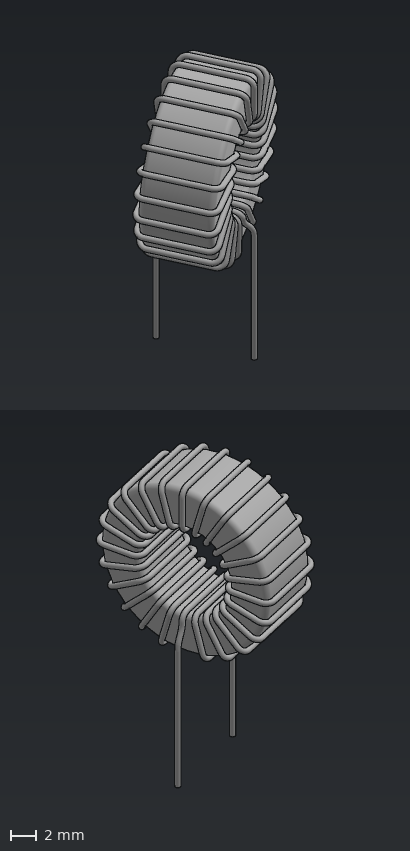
import cadquery as cq
import math


core_outer_diameter = 15.4
core_bore_diameter = 8.33
core_width = 6.2
core_edge_radius = 0.5

wire_diameter = 0.5
turn_count = 24
bend_radius = core_edge_radius + wire_diameter / 2

lead_spacing = 8.0
lead_top_z = -6.95
overall_height = 28.15

wire_radius = wire_diameter / 2
bore_pass_radius = core_bore_diameter / 2 - wire_radius
outer_pass_radius = core_outer_diameter / 2 + wire_radius
leg_x = core_width / 2 + wire_radius
lead_x = lead_spacing / 2
lead_bottom_z = outer_pass_radius + wire_radius - overall_height


def make_core():
    """Ring with a rounded section."""
    return (
        cq.Workplane("YZ", origin=(-core_width / 2, 0, 0))
        .circle(core_outer_diameter / 2)
        .circle(core_bore_diameter / 2)
        .extrude(core_width)
        .edges()
        .fillet(core_edge_radius)
    )


def winding_point(turn, radius, x):
    """Point of a turn at a radius from the core axis; turn 0 is at the bottom, counting toward +Y."""
    angle = 2 * math.pi * turn / turn_count
    return cq.Vector(x, radius * math.sin(angle), -radius * math.cos(angle))


def winding_corners():
    """Sharp corners of the centreline. The -X legs are radial, the +X legs step to the next turn."""
    corners = []
    for turn in range(turn_count):
        corners.append(winding_point(turn, outer_pass_radius, -leg_x))
        corners.append(winding_point(turn, bore_pass_radius, -leg_x))
        corners.append(winding_point(turn, bore_pass_radius, leg_x))
        corners.append(winding_point(turn + 1, outer_pass_radius, leg_x))
    return corners


def bend(before, corner, after):
    """Quarter-circle arc that rounds one right-angled corner of the centreline."""
    toward_before = (before - corner).normalized()
    toward_after = (after - corner).normalized()
    start = corner + toward_before * bend_radius
    end = corner + toward_after * bend_radius
    middle = corner + (toward_before + toward_after) * (bend_radius * (1 - math.sqrt(0.5)))
    return cq.Edge.makeThreePointArc(start, middle, end)


def winding_path():
    """Lead, S-curve, all the turns, S-curve and lead, joined tangentially end to end."""
    down = cq.Vector(0, 0, -1)
    up = cq.Vector(0, 0, 1)
    first_lead_top = cq.Vector(-lead_x, 0, lead_top_z)
    first_lead_foot = cq.Vector(-lead_x, 0, lead_bottom_z)
    last_lead_top = cq.Vector(lead_x, 0, lead_top_z)
    last_lead_foot = cq.Vector(lead_x, 0, lead_bottom_z)

    corners = winding_corners()
    bends = [bend(*trio) for trio in zip(corners, corners[1:], corners[2:])]
    first_bend = bends[0]
    last_bend = bends[-1]

    edges = [
        cq.Edge.makeLine(first_lead_foot, first_lead_top),
        cq.Edge.makeSpline(
            [first_lead_top, first_bend.startPoint()], tangents=[up, first_bend.tangentAt(0)]
        ),
        first_bend,
    ]
    for previous_bend, next_bend in zip(bends, bends[1:]):
        edges.append(cq.Edge.makeLine(previous_bend.endPoint(), next_bend.startPoint()))
        edges.append(next_bend)
    edges.append(
        cq.Edge.makeSpline(
            [last_bend.endPoint(), last_lead_top], tangents=[last_bend.tangentAt(1), down]
        )
    )
    edges.append(cq.Edge.makeLine(last_lead_top, last_lead_foot))
    return cq.Wire.assembleEdges(edges)


def make_winding():
    """Round wire swept along the whole centreline."""
    lead_foot = cq.Plane(origin=(-lead_x, 0, lead_bottom_z))
    return cq.Workplane(lead_foot).circle(wire_radius).sweep(winding_path())


core = make_core()
winding = make_winding()
result = cq.Compound.makeCompound([core.val(), winding.val()])